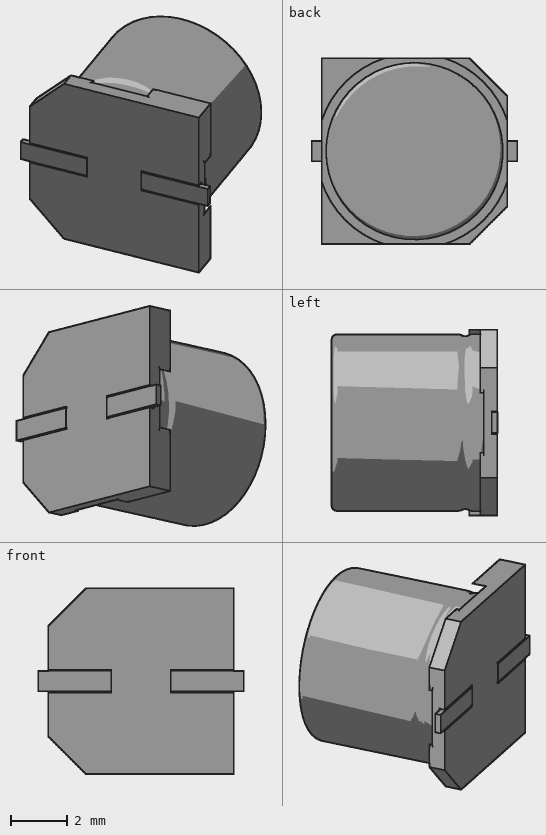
import cadquery as cq
import math


LENGTH_X = 7.3
HEIGHT_Y = 5.9

BASE_SIDE = 6.6
BASE_CHAMFER = 1.34
BASE_BOTTOM = 0.01
BASE_TOP = 0.61
POST_TOP = 1.015
RECESS_FLOOR = 0.5
RECESS_RADIUS = 3.47

LEAD_LENGTH = 2.59
LEAD_WIDTH = 0.72
LEAD_BOTTOM = 0.0
LEAD_TOP = 0.21
SLOT_WIDTH = 0.825

CAN_RADIUS = 3.14
END_FILLET = 0.21
CAN_BOTTOM = BASE_TOP - END_FILLET
GROOVE_BOTTOM = 0.88
GROOVE_TOP = 1.415
GROOVE_SHOULDER = 0.16
GROOVE_CENTER = (GROOVE_BOTTOM + GROOVE_TOP) / 2
GROOVE_HALF_WIDTH = (GROOVE_TOP - GROOVE_BOTTOM) / 2
GROOVE_THROAT_HALF_WIDTH = GROOVE_HALF_WIDTH - GROOVE_SHOULDER
GROOVE_DEPTH = 0.065


def block(x_min, x_max, y_min, y_max, width_z):
    """Box between the given X and Y limits, centred on Z = 0."""
    size_x = x_max - x_min
    size_y = y_max - y_min
    center = ((x_min + x_max) / 2, (y_min + y_max) / 2, 0)
    return cq.Workplane("XY").box(size_x, size_y, width_z).translate(center)


def disc(radius, y_min, y_max):
    """Cylinder about the Y axis."""
    return cq.Workplane("XZ", origin=(0, y_min, 0)).circle(radius).extrude(y_min - y_max)


def make_base():
    half = BASE_SIDE / 2
    plate = block(-half, half, BASE_BOTTOM, BASE_TOP, BASE_SIDE)
    plate = plate.edges("|Y and <X").chamfer(BASE_CHAMFER)

    posts = block(0, half, BASE_TOP, POST_TOP, BASE_SIDE)
    base = plate.union(posts).cut(disc(RECESS_RADIUS, RECESS_FLOOR, POST_TOP))

    slot_end = LENGTH_X / 2 - LEAD_LENGTH
    for x_min, x_max in ((-half, -slot_end), (slot_end, half)):
        base = base.cut(block(x_min, x_max, BASE_BOTTOM, LEAD_TOP, SLOT_WIDTH))
    return base


def make_lead(side):
    """Flat lead reaching out of the base; side is -1 or +1 along X."""
    outer_end = LENGTH_X / 2
    center_x = side * (outer_end - LEAD_LENGTH / 2)
    lead = block(-LEAD_LENGTH / 2, LEAD_LENGTH / 2, LEAD_BOTTOM, LEAD_TOP, LEAD_WIDTH)
    return lead.translate((center_x, 0, 0))


def make_can():
    slope = 2 * math.atan(GROOVE_DEPTH / GROOVE_HALF_WIDTH)
    shoulder_radius = GROOVE_SHOULDER / math.sin(slope)
    shoulder_drop = shoulder_radius * (1 - math.cos(slope))
    shoulder_mid_drop = shoulder_radius * (1 - math.cos(slope / 2))
    shoulder_mid_offset = GROOVE_HALF_WIDTH - shoulder_radius * math.sin(slope / 2)

    lower_edge = (CAN_RADIUS, GROOVE_BOTTOM)
    lower_mid = (CAN_RADIUS - shoulder_mid_drop, GROOVE_CENTER - shoulder_mid_offset)
    throat_start = (CAN_RADIUS - shoulder_drop, GROOVE_CENTER - GROOVE_THROAT_HALF_WIDTH)
    throat_mid = (CAN_RADIUS - GROOVE_DEPTH, GROOVE_CENTER)
    throat_end = (CAN_RADIUS - shoulder_drop, GROOVE_CENTER + GROOVE_THROAT_HALF_WIDTH)
    upper_mid = (CAN_RADIUS - shoulder_mid_drop, GROOVE_CENTER + shoulder_mid_offset)
    upper_edge = (CAN_RADIUS, GROOVE_TOP)

    can = (
        cq.Workplane("XY")
        .moveTo(0, CAN_BOTTOM)
        .lineTo(CAN_RADIUS, CAN_BOTTOM)
        .lineTo(*lower_edge)
        .threePointArc(lower_mid, throat_start)
        .threePointArc(throat_mid, throat_end)
        .threePointArc(upper_mid, upper_edge)
        .lineTo(CAN_RADIUS, HEIGHT_Y)
        .lineTo(0, HEIGHT_Y)
        .close()
        .revolve(360, (0, 0, 0), (0, 1, 0))
    )
    return can.faces("<Y or >Y").edges().fillet(END_FILLET)


can = make_can()
base = make_base().cut(can).solids()
leads = [make_lead(side) for side in (-1, 1)]

result = cq.Compound.makeCompound([base.val(), can.val(), *[lead.val() for lead in leads]])